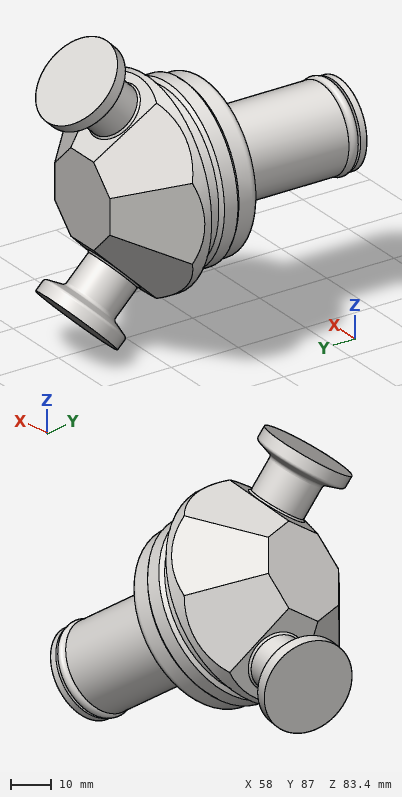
import cadquery as cq
import math


stem_radius = 25.0 / 2
groove_radius = 20.8 / 2
groove_width = 3.5
ring_section_radius = 1.3
ring_center_y = 3.65
ring_path_radius = groove_radius + ring_section_radius

collar_radius = 48.0 / 2
collar_front_y = 40.0
collar_back_y = 56.0
collar_fillet = 2.0
band_radius = 50.0 / 2
band_front_y = 46.0
band_back_y = 52.0
band_chamfer = band_radius - collar_radius

neck_radius = 36.0 / 2
head_radius = 58.0 / 2
head_front_y = 57.35
head_rim_width = 2.3
head_back_y = 76.5
head_edge_fillet = 0.4
head_sides = 8

ferrule_angle = 45
ferrule_radius = 25.0 / 2
tube_radius = 15.0 / 2
overall_length = 87.0
overall_height = 83.4
rim_thickness = 3.65
rim_fillet = 0.9
taper_angle = 20
taper_root_fillet = 1.05
weld_chamfer = 0.5
ferrule_tilt = math.radians(ferrule_angle)
face_center_y = overall_length - ferrule_radius * math.sin(ferrule_tilt)
face_center_z = overall_height / 2 - ferrule_radius * math.cos(ferrule_tilt)

rim_back_y = head_front_y + head_rim_width
ferrule_length = (face_center_y + face_center_z - head_radius - rim_back_y) / math.sqrt(2)
tube_embed = 2.6


def cylinder(radius, start_y, end_y):
    """Solid cylinder on the main axis between two Y positions."""
    plane = cq.Plane(origin=(0, start_y, 0), xDir=(1, 0, 0), normal=(0, 1, 0))
    return cq.Workplane(plane).circle(radius).extrude(end_y - start_y)


def make_stem():
    stem = cylinder(stem_radius, 0, collar_front_y)
    groove_start = ring_center_y - groove_width / 2
    groove_end = ring_center_y + groove_width / 2
    groove = cylinder(stem_radius, groove_start, groove_end)
    groove = groove.cut(cylinder(groove_radius, groove_start, groove_end))
    return stem.cut(groove)


def make_collar():
    collar = cylinder(collar_radius, collar_front_y, collar_back_y).edges().fillet(collar_fillet)
    band = cylinder(band_radius, band_front_y, band_back_y).edges().chamfer(band_chamfer)
    return collar.union(band)


def octagon(apothem, y):
    """Octagon wire square to the main axis, with flats facing X and Z."""
    corner_radius = apothem / math.cos(math.pi / head_sides)
    corners = []
    for index in range(head_sides):
        angle = (index + 0.5) * 2 * math.pi / head_sides
        corners.append(cq.Vector(corner_radius * math.cos(angle), y, corner_radius * math.sin(angle)))
    return cq.Wire.makePolygon(corners, close=True)


def make_head():
    """Eight-sided frustum with 45 degree flats, turned down to the round rim."""
    front_apothem = head_radius + head_rim_width
    back_apothem = head_radius - (head_back_y - rim_back_y)
    frustum = cq.Solid.makeLoft(
        [octagon(front_apothem, head_front_y), octagon(back_apothem, head_back_y)], True
    )
    blank = cylinder(head_radius, head_front_y, head_back_y)
    blank = blank.faces("<Y").edges().fillet(head_edge_fillet)
    return blank.intersect(cq.Workplane(frustum))


def make_ferrule():
    """Blank clamp ferrule along local Z, with its foot on the head flat at Z = 0."""
    taper_height = (ferrule_radius - tube_radius) * math.tan(math.radians(taper_angle))
    rim_base = ferrule_length - rim_thickness
    weld_radius = tube_radius + weld_chamfer
    ferrule = (
        cq.Workplane("XZ")
        .moveTo(0, -tube_embed)
        .lineTo(weld_radius, -tube_embed)
        .lineTo(weld_radius, 0)
        .lineTo(tube_radius, weld_chamfer)
        .lineTo(tube_radius, rim_base - taper_height)
        .lineTo(ferrule_radius, rim_base)
        .lineTo(ferrule_radius, ferrule_length)
        .lineTo(0, ferrule_length)
        .close()
        .revolve(360, (0, 0, 0), (0, 1, 0))
    )
    root_edge = cq.selectors.NearestToPointSelector((0, 0, rim_base - taper_height))
    rim_edge = cq.selectors.NearestToPointSelector((0, 0, rim_base))
    ferrule = ferrule.edges("%CIRCLE").edges(root_edge).fillet(taper_root_fillet)
    return ferrule.edges("%CIRCLE").edges(rim_edge).fillet(rim_fillet)


def place_upper_ferrule(ferrule):
    """Tilt the ferrule toward +Y and put its end face at its place above the main axis."""
    foot_y = face_center_y - ferrule_length * math.sin(ferrule_tilt)
    foot_z = face_center_z - ferrule_length * math.cos(ferrule_tilt)
    tilted = ferrule.rotate((0, 0, 0), (1, 0, 0), -ferrule_angle)
    return tilted.translate((0, foot_y, foot_z))


def make_housing():
    neck = cylinder(neck_radius, collar_back_y, head_front_y)
    housing = make_stem().union(make_collar()).union(neck).union(make_head())
    upper_ferrule = place_upper_ferrule(make_ferrule())
    lower_ferrule = upper_ferrule.mirror("XY")
    return housing.union(upper_ferrule).union(lower_ferrule)


def make_o_ring():
    """Torus seated on the bottom of the stem groove."""
    return cq.Solid.makeTorus(
        ring_path_radius, ring_section_radius, cq.Vector(0, ring_center_y, 0), cq.Vector(0, 1, 0)
    )


housing = make_housing()
o_ring = make_o_ring()
result = cq.Compound.makeCompound([*housing.solids().vals(), o_ring])